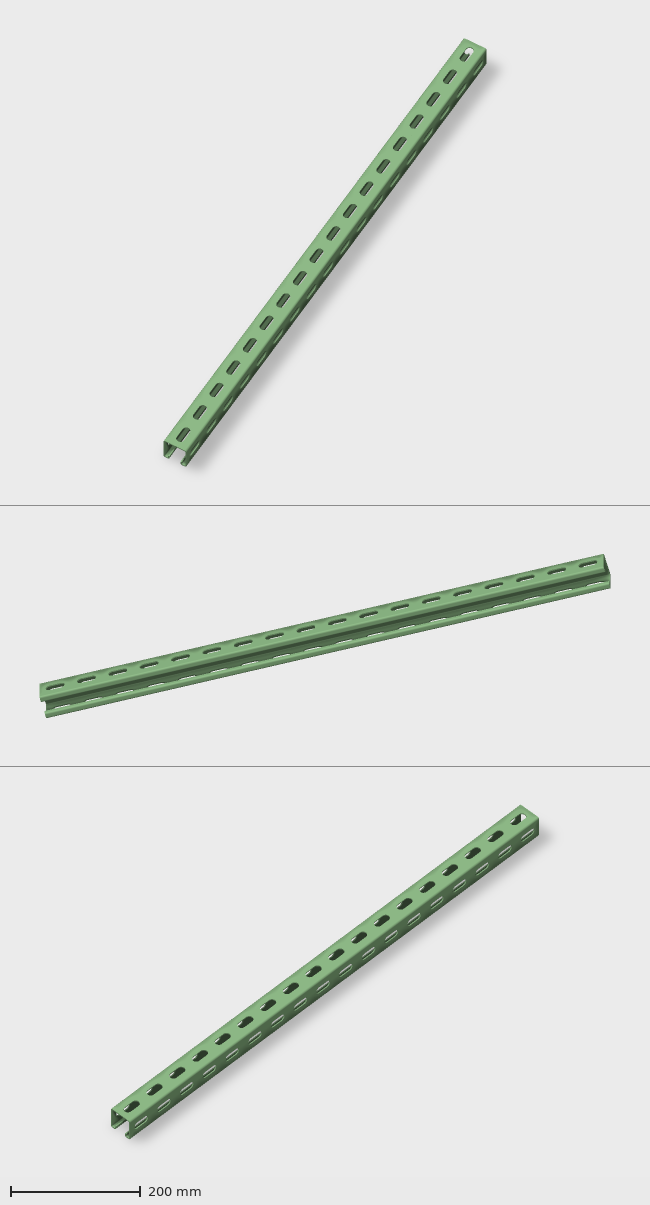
import cadquery as cq

width = 41.0
height = 41.0
length = 900.0
thickness = 2.0
outer_bend_radius = 3.0
inner_bend_radius = outer_bend_radius - thickness

opening_width = 20.0
lip_height = 7.0

slot_length = 30.0
slot_width = 13.0
slot_pitch = 50.0
slot_count = 18

wall_outside = width / 2
wall_inside = wall_outside - thickness
top = height / 2
web_underside = top - thickness
bottom = -height / 2
flange_top = bottom + thickness
lip_top = bottom + lip_height
lip_inside = opening_width / 2
lip_outside = lip_inside + thickness


def round_bends(body, corners, radius):
    """Round the long edges at the given (x, z) corners and their mirror images."""
    for x, z in corners:
        for side in (-1, 1):
            edge = cq.selectors.NearestToPointSelector((side * x, 0, z))
            body = body.edges(edge).fillet(radius)
    return body


def make_channel():
    """Channel of constant sheet thickness with rounded bends and square lip ends."""
    right_half = [
        (wall_outside, top),
        (wall_outside, bottom),
        (lip_inside, bottom),
        (lip_inside, lip_top),
        (lip_outside, lip_top),
        (lip_outside, flange_top),
        (wall_inside, flange_top),
        (wall_inside, web_underside),
    ]
    left_half = [(-x, z) for x, z in reversed(right_half)]
    profile = cq.Workplane("XZ").polyline(right_half + left_half).close()
    channel = profile.extrude(length / 2, both=True)

    outer_corners = [(wall_outside, top), (wall_outside, bottom), (lip_inside, bottom)]
    inner_corners = [
        (wall_inside, web_underside),
        (wall_inside, flange_top),
        (lip_outside, flange_top),
    ]
    channel = round_bends(channel, outer_corners, outer_bend_radius)
    return round_bends(channel, inner_corners, inner_bend_radius)


def make_web_slots():
    """Cutters for the row of slots in the top web, starting inside the channel."""
    row = cq.Workplane("XY").rarray(1, slot_pitch, 1, slot_count)
    return row.slot2D(slot_length, slot_width, 90).extrude(height)


def make_wall_slots():
    """Cutters for the rows of slots passing through both side walls."""
    row = cq.Workplane("YZ").rarray(slot_pitch, 1, slot_count, 1)
    return row.slot2D(slot_length, slot_width).extrude(width, both=True)


result = make_channel().cut(make_web_slots()).cut(make_wall_slots())